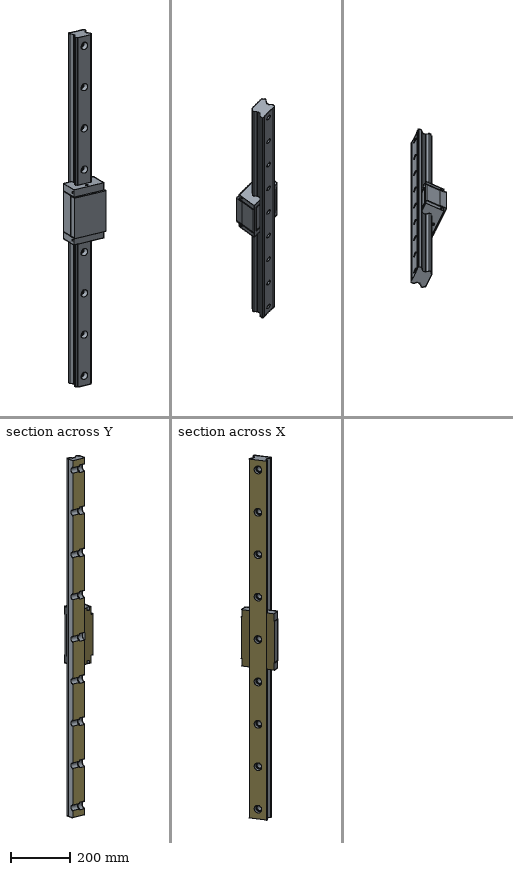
import cadquery as cq

RAIL_LENGTH = 1270.0
RAIL_HEIGHT = 53.0
RAIL_HALF_WIDTH = 32.0
FOOT_CHAMFER = 3.0
FOOT_TOP = 11.0
WAIST_HALF_WIDTH = 23.0
WAIST_TOP = 29.0
LOWER_GROOVE_BOTTOM = 32.0
RIDGE_BOTTOM = 40.0
RIDGE_TOP = 46.0
UPPER_GROOVE_TOP = 50.0
UPPER_GROOVE_HALF_WIDTH = 27.0
HEAD_HALF_WIDTH = 25.0
GROOVE_RADIUS = 13.0

RELIEF_HALF_WIDTH = 22.0
RELIEF_DEPTH = 0.6
CHANNEL_MOUTH_HALF_WIDTH = 13.0
CHANNEL_FLOOR_HALF_WIDTH = 10.0
CHANNEL_DEPTH = 0.6

HOLE_COUNT = 9
HOLE_PITCH = 150.0
HOLE_DIAMETER = 18.0
COUNTERBORE_DIAMETER = 25.0
COUNTERBORE_DEPTH = 22.0

CARRIAGE_Z = -1.0
CARRIAGE_LENGTH = 201.0
CARRIAGE_BOTTOM = 14.0
CARRIAGE_TOP = 90.0
STEEL_LENGTH = 147.0
STEEL_WIDTH = 126.0
STEEL_LOWER_WIDTH = 123.0
STEEL_STEP_HEIGHT = 66.0
STEEL_CHAMFER = 4.0
STEEL_INNER_BOTTOM = 15.0
STEEL_INNER_WIDTH = 95.0
CAP_WIDTH = 120.0
CAP_CHAMFER = 1.0
CAP_TOP = 81.0
CAP_LENGTH = (CARRIAGE_LENGTH - STEEL_LENGTH) / 2

END_PORT_DIAMETER = 9.0
END_PORT_HEIGHT = 69.0
SIDE_PORT_DIAMETER = 5.2
SIDE_PORT_HEIGHT = 71.0
PORT_DEPTH = 10.0


def centred_bar(half_outline, length):
    """Bar along Z, centred on Z = 0, whose outline is a half outline and its mirror image about Y = 0."""
    other_half = [(x, -y) for x, y in reversed(half_outline)]
    return cq.Workplane("XY").polyline(half_outline + other_half).close().extrude(length / 2, both=True)


def rail_blank():
    """Full-length bar with the rail section and its four ball grooves, without holes."""
    waist_bottom = FOOT_TOP + RAIL_HALF_WIDTH - WAIST_HALF_WIDTH
    lower_groove_half_width = WAIST_HALF_WIDTH + LOWER_GROOVE_BOTTOM - WAIST_TOP
    half_rail = (
        cq.Workplane("XY")
        .lineTo(0, RAIL_HALF_WIDTH - FOOT_CHAMFER)
        .lineTo(FOOT_CHAMFER, RAIL_HALF_WIDTH)
        .lineTo(FOOT_TOP, RAIL_HALF_WIDTH)
        .lineTo(waist_bottom, WAIST_HALF_WIDTH)
        .lineTo(WAIST_TOP, WAIST_HALF_WIDTH)
        .lineTo(LOWER_GROOVE_BOTTOM, lower_groove_half_width)
        .radiusArc((RIDGE_BOTTOM, RAIL_HALF_WIDTH), -GROOVE_RADIUS)
        .lineTo(RIDGE_TOP, RAIL_HALF_WIDTH)
        .radiusArc((UPPER_GROOVE_TOP, UPPER_GROOVE_HALF_WIDTH), -GROOVE_RADIUS)
        .lineTo(RAIL_HEIGHT, HEAD_HALF_WIDTH)
        .lineTo(RAIL_HEIGHT, 0)
        .close()
        .extrude(RAIL_LENGTH / 2, both=True)
    )
    return half_rail.union(half_rail.mirror("XZ"))


def mounting_face_relief():
    """Cutter for the shallow relief and the channel in its middle."""
    half_outline = [
        (0, RELIEF_HALF_WIDTH),
        (RELIEF_DEPTH, RELIEF_HALF_WIDTH),
        (RELIEF_DEPTH, CHANNEL_MOUTH_HALF_WIDTH),
        (RELIEF_DEPTH + CHANNEL_DEPTH, CHANNEL_FLOOR_HALF_WIDTH),
    ]
    return centred_bar(half_outline, RAIL_LENGTH)


def make_rail():
    """Rail with a row of holes, counterbored from its top face."""
    first_hole = -(HOLE_COUNT - 1) / 2 * HOLE_PITCH
    positions = [(0, first_hole + i * HOLE_PITCH) for i in range(HOLE_COUNT)]
    return (
        rail_blank()
        .cut(mounting_face_relief())
        .copyWorkplane(cq.Workplane("YZ", origin=(RAIL_HEIGHT, 0, 0)))
        .pushPoints(positions)
        .cboreHole(HOLE_DIAMETER, COUNTERBORE_DIAMETER, COUNTERBORE_DEPTH)
    )


def steel_block():
    """Middle of the carriage, with chamfered skirts and a small side step out to its full width."""
    half_outline = [
        (STEEL_INNER_BOTTOM, STEEL_INNER_WIDTH / 2),
        (CARRIAGE_BOTTOM, STEEL_INNER_WIDTH / 2),
        (CARRIAGE_BOTTOM, STEEL_LOWER_WIDTH / 2 - STEEL_CHAMFER),
        (CARRIAGE_BOTTOM + STEEL_CHAMFER, STEEL_LOWER_WIDTH / 2),
        (STEEL_STEP_HEIGHT, STEEL_LOWER_WIDTH / 2),
        (STEEL_STEP_HEIGHT, STEEL_WIDTH / 2),
        (CARRIAGE_TOP, STEEL_WIDTH / 2),
    ]
    return centred_bar(half_outline, STEEL_LENGTH)


def port(diameter, mouth, direction):
    """Round cutter that runs from the mouth of a port into its cap."""
    cutter = cq.Solid.makeCylinder(diameter / 2, PORT_DEPTH, cq.Vector(*mouth), cq.Vector(*direction))
    return cq.Workplane(obj=cutter)


def end_cap(end):
    """End cap above (end = 1) or below (end = -1) the steel block, with its ports."""
    cap_z = end * (STEEL_LENGTH + CAP_LENGTH) / 2
    half_outline = [
        (CARRIAGE_BOTTOM, CAP_WIDTH / 2 - CAP_CHAMFER),
        (CARRIAGE_BOTTOM + CAP_CHAMFER, CAP_WIDTH / 2),
        (CAP_TOP, CAP_WIDTH / 2),
    ]
    cap = centred_bar(half_outline, CAP_LENGTH).translate((0, 0, cap_z))
    end_mouth = (END_PORT_HEIGHT, 0, end * CARRIAGE_LENGTH / 2)
    cap = cap.cut(port(END_PORT_DIAMETER, end_mouth, (0, 0, -end)))
    for side in (-1, 1):
        side_mouth = (SIDE_PORT_HEIGHT, side * CAP_WIDTH / 2, cap_z)
        cap = cap.cut(port(SIDE_PORT_DIAMETER, side_mouth, (0, -side, 0)))
    return cap


def make_carriage():
    """Steel block and end caps as one body that fits round the rail."""
    carriage = steel_block().union(end_cap(1)).union(end_cap(-1))
    return carriage.translate((0, 0, CARRIAGE_Z)).cut(rail_blank())


rail = make_rail()
carriage = make_carriage()

result = cq.Compound.makeCompound([rail.solids().val(), carriage.solids().val()])